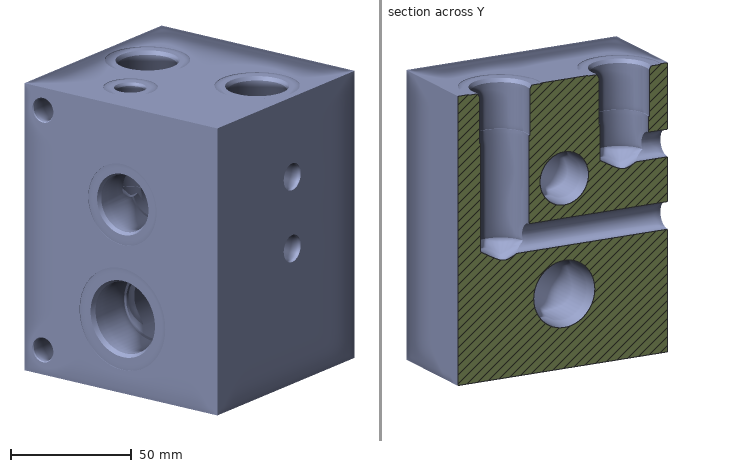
import cadquery as cq
import math

WIDTH = 100.0
DEPTH = 95.2
HEIGHT = 125.4

SPOT_DEPTH = 0.3
DRILL_POINT_HALF_ANGLE = math.radians(59)
SEAT_HALF_ANGLE = math.radians(30)

MEDIUM_SPOT_DIA = 35.4
MEDIUM_SEAT_DIA = 26.6
MEDIUM_THREAD_DIA = 24.7
MEDIUM_THREAD_DEPTH = 22.0

FRONT_PORT_X = 50.8
UPPER_PORT_Z = 82.4
UPPER_DRILL_DIA = 22.8
LOWER_PORT_Z = 32.4
LOWER_SPOT_DIA = 44.4
LOWER_SEAT_DIA = 33.4
LOWER_THREAD_DIA = 31.1
LOWER_THREAD_DEPTH = 22.0
LOWER_DRILL_DIA = 28.8

TOP_PORT_Y = 55.3
LEFT_PORT_X = 22.5
RIGHT_PORT_X = 79.3
TOP_DRILL_DIA = 23.8
LEFT_PORT_DEPTH = 69.0
RIGHT_PORT_DEPTH = 37.6

CROSS_DRILL_DIA = 11.8
CROSS_DRILL_OFFSET_Y = 3.4
CROSS_DRILL_RISE = 2.8

GAUGE_X = 38.3
GAUGE_Y = 22.3
GAUGE_SPOT_DIA = 22.6
GAUGE_SEAT_DIA = 13.5
GAUGE_THREAD_DIA = 12.0
GAUGE_THREAD_DEPTH = 12.5
GAUGE_DRILL_DIA = 11.3
GAUGE_DEPTH = 45.2

PASSAGE_RADIUS = 5.5
PASSAGE_WALL_Y = 1.1
PASSAGE_CORNER_X = -0.9
PASSAGE_SLANT = math.radians(35)

MOUNT_X = 9.7
MOUNT_ZS = (10.8, 115.5)
MOUNT_DIA = 10.0
MOUNT_MOUTH_DIA = 10.8
MOUNT_CHAMFER_ANGLE = math.radians(45)
MOUNT_DEPTH = 20.1


def cone_length(large_dia, small_dia, half_angle):
    return (large_dia - small_dia) / 2 / math.tan(half_angle)


def revolve_down(profile):
    """Turn (radius, height) points about Z; the last point lies on the axis."""
    outline = [(0, profile[0][1])] + profile
    return cq.Workplane("XZ").polyline(outline).close().revolve(360, (0, 0, 0), (0, 1, 0))


def drill_end(dia, depth):
    """Wall end and pointed tip of a drilling; depth is measured to the full diameter."""
    return [(dia / 2, -depth), (0, -depth - cone_length(dia, 0, DRILL_POINT_HALF_ANGLE))]


def port(spot_dia, seat_dia, thread_dia, thread_depth, drill_dia, depth):
    """Port cavity entering at the origin and running toward -Z."""
    seat_end = SPOT_DEPTH + cone_length(seat_dia, thread_dia, SEAT_HALF_ANGLE)
    profile = [
        (spot_dia / 2, 0),
        (spot_dia / 2, -SPOT_DEPTH),
        (seat_dia / 2, -SPOT_DEPTH),
        (thread_dia / 2, -seat_end),
        (thread_dia / 2, -thread_depth),
        (drill_dia / 2, -thread_depth),
    ]
    return revolve_down(profile + drill_end(drill_dia, depth))


def mounting_hole():
    mouth_depth = cone_length(MOUNT_MOUTH_DIA, MOUNT_DIA, MOUNT_CHAMFER_ANGLE)
    profile = [(MOUNT_MOUTH_DIA / 2, 0), (MOUNT_DIA / 2, -mouth_depth)]
    return revolve_down(profile + drill_end(MOUNT_DIA, MOUNT_DEPTH))


def on_top(cavity, x, y):
    return cavity.translate((x, y, HEIGHT))


def on_front(cavity, x, z):
    return cavity.rotate((0, 0, 0), (1, 0, 0), 90).translate((x, 0, z))


def cross_drilling(port_x, port_depth):
    """Side drilling that runs in along X as far as the port axis."""
    return (
        cq.Workplane("YZ", origin=(port_x, TOP_PORT_Y - CROSS_DRILL_OFFSET_Y, 0))
        .center(0, HEIGHT - port_depth + CROSS_DRILL_RISE)
        .circle(CROSS_DRILL_DIA / 2)
        .extrude(WIDTH - port_x)
    )


def gauge_passage():
    """Slice of the gauge drilling that carries on down through the bottom face."""
    length = HEIGHT - GAUGE_DEPTH
    reach = 2 * PASSAGE_RADIUS
    slant_end_x = PASSAGE_CORNER_X + reach * math.cos(PASSAGE_SLANT)
    slant_end_y = PASSAGE_WALL_Y + reach * math.sin(PASSAGE_SLANT)
    open_side = [
        (-reach, PASSAGE_WALL_Y),
        (PASSAGE_CORNER_X, PASSAGE_WALL_Y),
        (slant_end_x, slant_end_y),
        (-reach, slant_end_y),
    ]
    drilling = cq.Workplane("XY").circle(PASSAGE_RADIUS).extrude(length)
    slice_limits = cq.Workplane("XY").polyline(open_side).close().extrude(length)
    return drilling.intersect(slice_limits).translate((GAUGE_X, GAUGE_Y, 0))


result = cq.Workplane("XY").box(WIDTH, DEPTH, HEIGHT, centered=False)

medium_size = (MEDIUM_SPOT_DIA, MEDIUM_SEAT_DIA, MEDIUM_THREAD_DIA, MEDIUM_THREAD_DEPTH)
lower_size = (LOWER_SPOT_DIA, LOWER_SEAT_DIA, LOWER_THREAD_DIA, LOWER_THREAD_DEPTH)
upper_port = port(*medium_size, UPPER_DRILL_DIA, DEPTH)
lower_port = port(*lower_size, LOWER_DRILL_DIA, DEPTH)
result = result.cut(on_front(upper_port, FRONT_PORT_X, UPPER_PORT_Z))
result = result.cut(on_front(lower_port, FRONT_PORT_X, LOWER_PORT_Z))

for port_x, port_depth in ((LEFT_PORT_X, LEFT_PORT_DEPTH), (RIGHT_PORT_X, RIGHT_PORT_DEPTH)):
    top_port = port(*medium_size, TOP_DRILL_DIA, port_depth)
    result = result.cut(on_top(top_port, port_x, TOP_PORT_Y))
    result = result.cut(cross_drilling(port_x, port_depth))

gauge_size = (GAUGE_SPOT_DIA, GAUGE_SEAT_DIA, GAUGE_THREAD_DIA, GAUGE_THREAD_DEPTH)
gauge_port = port(*gauge_size, GAUGE_DRILL_DIA, GAUGE_DEPTH)
result = result.cut(on_top(gauge_port, GAUGE_X, GAUGE_Y))
result = result.cut(gauge_passage())

for mount_z in MOUNT_ZS:
    result = result.cut(on_front(mounting_hole(), MOUNT_X, mount_z))